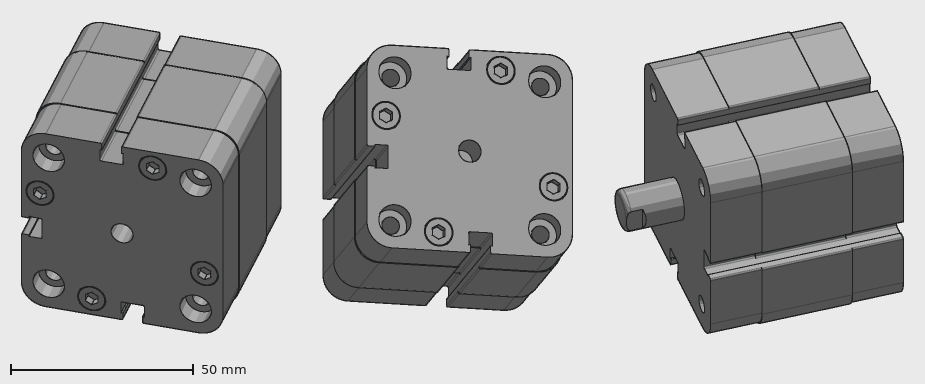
import cadquery as cq
import math


total_length = 72.0
tube_width = 58.1
cap_width = 57.6
cap_length = 14.75
tube_length = 26.1
corner_radius = 7.0
body_length = tube_length + 2 * cap_length
front_y = -total_length / 2
rear_y = front_y + body_length

slot_offset = 3.0
slot_mouth_width = 5.6
slot_inner_width = 6.6
slot_lip_thickness = 2.2
slot_depth = 5.9
slot_edge_radius = 0.4
slot_turns = (0, -90, 180)

mount_pitch = 42.0
mount_hole_diameter = 4.9
mount_bore_diameter = 9.0
mount_bore_depth = 5.4

screw_side_offset = 8.7
screw_axis_offset = 23.5
screw_centres = (
    (screw_side_offset, screw_axis_offset),
    (screw_axis_offset, -screw_side_offset),
    (-screw_side_offset, -screw_axis_offset),
    (-screw_axis_offset, screw_side_offset),
)
screw_bore_diameter = 8.0
screw_head_diameter = 7.5
screw_gap_depth = 5.0
hex_across_flats = 3.6
hex_depth = 2.5

centre_hole_diameter = 6.3
centre_hole_depth = 10.8

rod_diameter = 12.0
rod_end_radius = 1.4
flat_spacing = 10.0
flat_length = 4.7
flat_runout = 0.7


def plane_at(y):
    """Plane facing +Y; local x is +X and local y is -Z."""
    return cq.Workplane(cq.Plane(origin=(0, y, 0), xDir=(1, 0, 0), normal=(0, 1, 0)))


def slot_cutter(outer_width, y, length):
    """T-slot on the +Z side of a body section with the given outer width."""
    top = outer_width / 2
    ceiling = cap_width / 2 - slot_lip_thickness
    floor = top - slot_depth
    half_inner = slot_inner_width / 2
    half_mouth = slot_mouth_width / 2
    half_flare = half_mouth + slot_edge_radius
    r = slot_edge_radius
    inset = r * (1 - math.sqrt(0.5))

    outline = (
        cq.Workplane(cq.Plane(origin=(-slot_offset, y, 0), xDir=(1, 0, 0), normal=(0, -1, 0)))
        .moveTo(half_inner - r, floor)
        .threePointArc((half_inner - inset, floor + inset), (half_inner, floor + r))
        .lineTo(half_inner, ceiling)
        .lineTo(half_mouth, ceiling)
        .lineTo(half_mouth, top - r)
        .threePointArc((half_mouth + inset, top - inset), (half_flare, top))
        .lineTo(-half_flare, top)
        .threePointArc((-half_mouth - inset, top - inset), (-half_mouth, top - r))
        .lineTo(-half_mouth, ceiling)
        .lineTo(-half_inner, ceiling)
        .lineTo(-half_inner, floor + r)
        .threePointArc((-half_inner + inset, floor + inset), (-half_inner + r, floor))
        .close()
    )
    return outline.extrude(-length)


def body_section(width, y, length):
    """Rounded square block with its three T-slots, starting at y."""
    block = plane_at(y).rect(width, width).extrude(length).edges("|Y").fillet(corner_radius)
    cutter = slot_cutter(width, y, length)
    for turn in slot_turns:
        block = block.cut(cutter.rotate((0, 0, 0), (0, 1, 0), turn))
    return block


def mounting_holes():
    """Corner holes through the body, counterbored from the front."""
    holes = plane_at(front_y).rect(mount_pitch, mount_pitch, forConstruction=True).vertices()
    through = holes.circle(mount_hole_diameter / 2).extrude(body_length)
    bores = holes.circle(mount_bore_diameter / 2).extrude(mount_bore_depth)
    return through.union(bores)


def screw_recess(x, z):
    """Gap around one screw head plus its hexagon socket, two corners along Z."""
    plane = plane_at(front_y).center(x, -z)
    gap = plane.circle(screw_bore_diameter / 2).circle(screw_head_diameter / 2).extrude(screw_gap_depth)
    hexagon = plane.polygon(6, hex_across_flats, circumscribed=True)
    return gap.union(hexagon.extrude(hex_depth))


def piston_rod():
    """Rod with a rounded end and two opposite wrench flats with sloped ends."""
    tip_y = total_length / 2
    rod = plane_at(rear_y).circle(rod_diameter / 2).extrude(tip_y - rear_y)
    rod = rod.faces(">Y").edges().fillet(rod_end_radius)
    flat_cut = (
        cq.Workplane("XY")
        .moveTo(flat_spacing / 2, tip_y)
        .lineTo(flat_spacing / 2, tip_y - flat_length)
        .lineTo(rod_diameter / 2, tip_y - flat_length - flat_runout)
        .lineTo(rod_diameter / 2, tip_y)
        .close()
        .extrude(rod_diameter / 2, both=True)
    )
    return rod.cut(flat_cut).cut(flat_cut.mirror("YZ"))


front_cap = body_section(cap_width, front_y, cap_length)
tube = body_section(tube_width, front_y + cap_length, tube_length)
rear_cap = body_section(cap_width, rear_y - cap_length, cap_length)
result = front_cap.union(tube).union(rear_cap)

result = result.cut(mounting_holes())

for x, z in screw_centres:
    result = result.cut(screw_recess(x, z))

result = result.cut(plane_at(front_y).circle(centre_hole_diameter / 2).extrude(centre_hole_depth))
result = result.union(piston_rod())